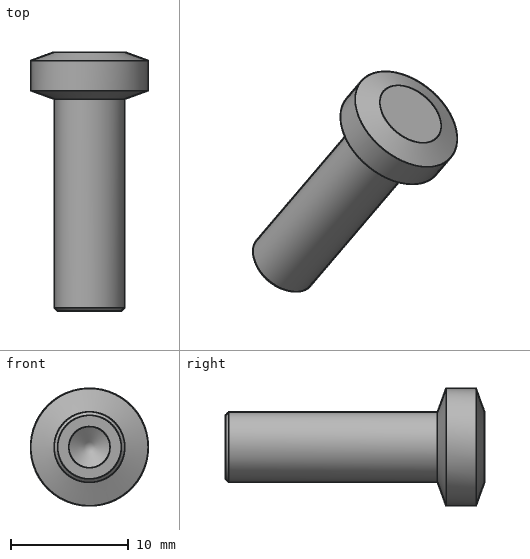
import cadquery as cq
import math

head_diameter = 10.0
head_length = 4.0
shank_diameter = 6.0
shank_length = 18.0
head_cone_angle = 20.0
tip_chamfer = 0.3
hole_diameter = 3.5
hole_depth = 12.0
drill_point_angle = 118.0

head_radius = head_diameter / 2
shank_radius = shank_diameter / 2
hole_radius = hole_diameter / 2
head_cone_length = (head_radius - shank_radius) * math.tan(math.radians(head_cone_angle))
drill_point_length = hole_radius / math.tan(math.radians(drill_point_angle / 2))

tip_y = -shank_length
head_end_y = head_length
hole_bottom_y = tip_y + hole_depth


def revolve_about_y(points):
    """Turn a closed (radius, Y) half-profile into a solid around the Y axis."""
    return cq.Workplane("XY").polyline(points).close().revolve(360, (0, 0, 0), (0, 1, 0))


def make_pin_body():
    """Chamfered shank with a head that tapers at both ends."""
    return revolve_about_y([
        (0, tip_y),
        (shank_radius - tip_chamfer, tip_y),
        (shank_radius, tip_y + tip_chamfer),
        (shank_radius, 0),
        (head_radius, head_cone_length),
        (head_radius, head_end_y - head_cone_length),
        (shank_radius, head_end_y),
        (0, head_end_y),
    ])


def make_blind_hole():
    """Drilled hole from the shank tip, ending in a drill point."""
    return revolve_about_y([
        (0, tip_y),
        (hole_radius, tip_y),
        (hole_radius, hole_bottom_y),
        (0, hole_bottom_y + drill_point_length),
    ])


result = make_pin_body().cut(make_blind_hole())